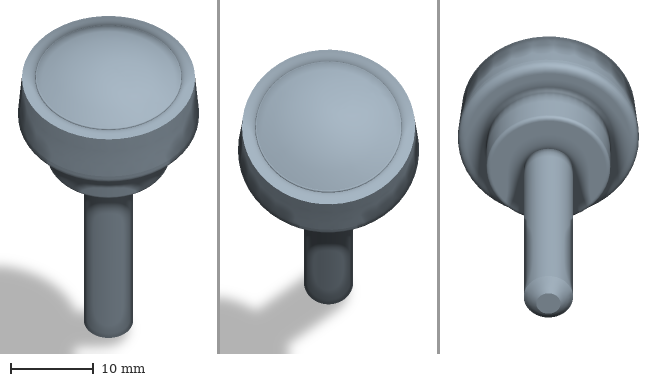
import cadquery as cq

total_height = 46.0
dome_rise = 2.55
rim_top = total_height - dome_rise
head_bottom = total_height - 10.0
collar_bottom = total_height - 16.0
band_height = 0.5

head_diameter = 21.95
head_top_diameter = 20.98
collar_diameter = 15.0
pin_diameter = 6.0
cap_diameter = 17.8

head_fillet = 1.0
collar_fillet = 0.5
neck_fillet = 0.5
cap_edge_fillet = 0.2
tip_chamfer = 1.5

head_radius = head_diameter / 2
collar_radius = collar_diameter / 2
pin_radius = pin_diameter / 2
band_top = head_bottom + head_fillet + band_height


def make_body():
    """Chamfered pin, collar and tapered head with a flat top, revolved about Z."""
    profile = (
        cq.Workplane("XZ")
        .lineTo(pin_radius - tip_chamfer, 0)
        .lineTo(pin_radius, tip_chamfer)
        .lineTo(pin_radius, collar_bottom)
        .lineTo(collar_radius - collar_fillet, collar_bottom)
        .radiusArc((collar_radius, collar_bottom + collar_fillet), -collar_fillet)
        .lineTo(collar_radius, head_bottom - neck_fillet)
        .radiusArc((collar_radius + neck_fillet, head_bottom), neck_fillet)
        .lineTo(head_radius - head_fillet, head_bottom)
        .radiusArc((head_radius, head_bottom + head_fillet), -head_fillet)
        .lineTo(head_radius, band_top)
        .lineTo(head_top_diameter / 2, rim_top)
        .lineTo(0, rim_top)
        .close()
    )
    return profile.revolve(360, (0, 0, 0), (0, 1, 0))


def make_cap():
    """Low round cap on the head: a rounded edge and a spherical dome above it."""
    base_radius = cap_diameter / 2
    dome_radius = base_radius - cap_edge_fillet
    dome_height = dome_rise - cap_edge_fillet
    sphere_radius = (dome_radius**2 + dome_height**2) / (2 * dome_height)
    profile = (
        cq.Workplane("XZ", origin=(0, 0, rim_top))
        .lineTo(base_radius, 0)
        .radiusArc((dome_radius, cap_edge_fillet), -cap_edge_fillet)
        .radiusArc((0, dome_rise), -sphere_radius)
        .close()
    )
    return profile.revolve(360, (0, 0, 0), (0, 1, 0))


result = make_body().union(make_cap())